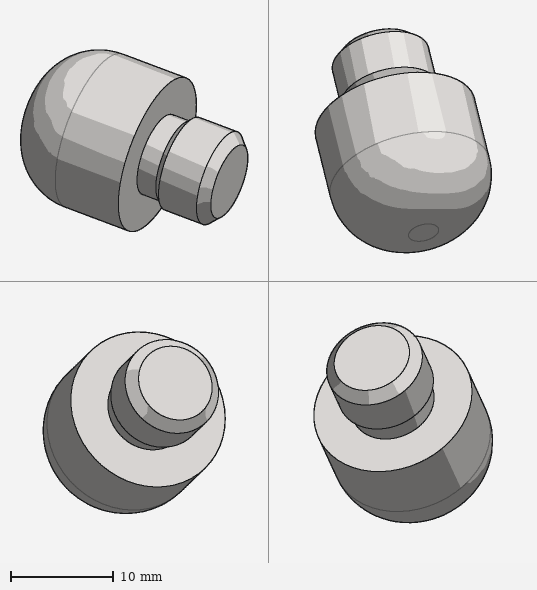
import cadquery as cq
import math

total_length = 21.5
head_radius = 8.0
head_length = 13.5
tip_flat_radius = 1.5

neck_radius = 4.17
neck_length = 2.09
shank_radius = 4.84
end_chamfer = 1.03

dome_radius = head_radius - tip_flat_radius
dome_mid_x = dome_radius * (1 - math.cos(math.radians(45)))
dome_mid_radius = tip_flat_radius + dome_radius * math.sin(math.radians(45))

neck_end = head_length + neck_length
shank_start = neck_end + shank_radius - neck_radius

half_profile = (
    cq.Workplane("XY")
    .lineTo(0, tip_flat_radius)
    .threePointArc((dome_mid_x, dome_mid_radius), (dome_radius, head_radius))
    .lineTo(head_length, head_radius)
    .lineTo(head_length, neck_radius)
    .lineTo(neck_end, neck_radius)
    .lineTo(shank_start, shank_radius)
    .lineTo(total_length - end_chamfer, shank_radius)
    .lineTo(total_length, shank_radius - end_chamfer)
    .lineTo(total_length, 0)
    .close()
)

result = half_profile.revolve(360, (0, 0, 0), (1, 0, 0))